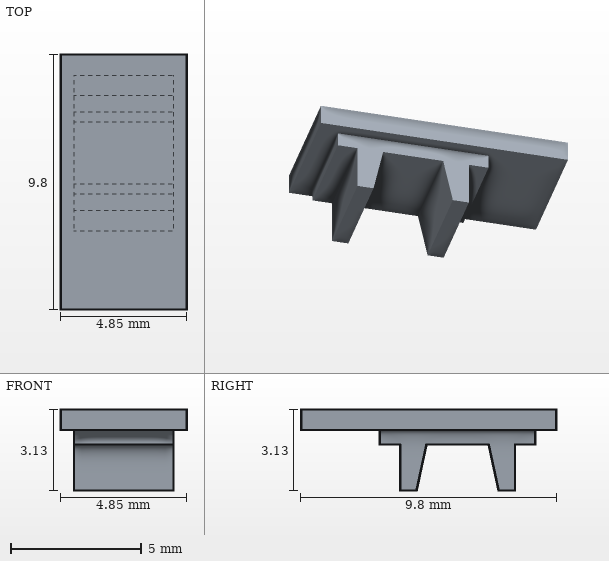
import cadquery as cq

plate_width = 4.85
plate_length = 9.8
plate_thickness = 0.8

pad_width = 3.83
pad_length = 5.98
pad_thickness = 0.56
pad_center_y = 1.11

total_height = 3.13
leg_height = total_height - plate_thickness - pad_thickness
leg_span = 4.42
leg_root = 1.02
leg_tip = 0.64

pad_bottom = leg_height
plate_bottom = pad_bottom + pad_thickness


def make_leg(side):
    """Leg on the +Y (side = 1) or -Y (side = -1) end of the pad, standing on Z = 0."""
    outer_y = pad_center_y + side * leg_span / 2
    profile = [
        (outer_y, 0),
        (outer_y, pad_bottom),
        (outer_y - side * leg_root, pad_bottom),
        (outer_y - side * leg_tip, 0),
    ]
    return cq.Workplane("YZ").polyline(profile).close().extrude(pad_width / 2, both=True)


plate = (
    cq.Workplane("XY")
    .workplane(offset=plate_bottom)
    .rect(plate_width, plate_length)
    .extrude(plate_thickness)
)
pad = (
    cq.Workplane("XY")
    .workplane(offset=pad_bottom)
    .center(0, pad_center_y)
    .rect(pad_width, pad_length)
    .extrude(pad_thickness)
)

result = plate.union(pad)
for side in (1, -1):
    result = result.union(make_leg(side))